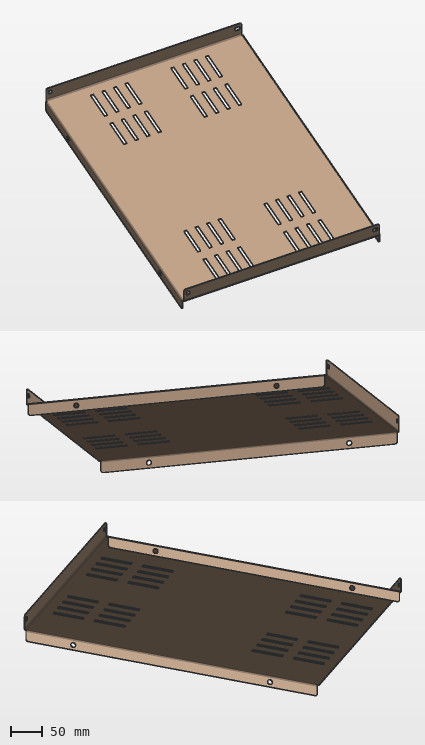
import cadquery as cq

length = 499.0
width = 344.0
height = 45.0
sheet = 1.5

bend_outer_radius = 2.0
bend_inner_radius = bend_outer_radius - sheet

plate_bottom = 18.5
plate_top = plate_bottom + sheet

side_flange_setback = 2.0
lower_flange_setback = 3.5
flange_corner_radius = 4.0

lower_hole_diameter = 8.0
lower_hole_x = 166.0
lower_hole_z = 9.0
side_hole_diameter = 6.5
side_slot_length = 9.5
side_hole_y = 162.5
side_hole_z = height - 10.0

vent_length = 51.0
vent_width = 5.0
vent_columns = 2
vent_rows = 4
vent_first_x = 133.0
vent_first_y = 40.0
vent_pitch_x = 70.0
vent_pitch_y = 20.0


def make_channel(span, run, depth):
    """U channel folded about Y: web on z = 0, flanges rising at both X ends."""
    web_up = (True, True, False)
    outer = cq.Workplane("XY").box(span, run, depth, centered=web_up)
    outer = outer.edges("|Y and <Z").fillet(bend_outer_radius)
    outer = outer.edges("|X and >Z").fillet(flange_corner_radius)
    inner = cq.Workplane("XY").box(span - 2 * sheet, run, depth, centered=web_up)
    inner = inner.edges("|Y and <Z").fillet(bend_inner_radius)
    return outer.cut(inner.translate((0, 0, sheet)))


def make_upper_channel():
    """Plate with the upward flanges on the -X and +X sides."""
    run = width - 2 * side_flange_setback
    channel = make_channel(length, run, height - plate_bottom)
    return channel.translate((0, 0, plate_bottom))


def make_lower_channel():
    """Plate with the downward flanges on the -Y and +Y sides."""
    run = length - 2 * lower_flange_setback
    channel = make_channel(width, run, plate_top)
    turned = channel.rotate((0, 0, 0), (0, 0, 1), 90).rotate((0, 0, 0), (1, 0, 0), 180)
    return turned.translate((0, 0, plate_top))


def make_vents():
    """Cutters for all ventilation slots."""
    columns = [vent_first_x + i * vent_pitch_x for i in range(vent_columns)]
    rows = [vent_first_y + i * vent_pitch_y for i in range(vent_rows)]
    centres = [(sx * x, sy * y) for x in columns for y in rows for sx in (-1, 1) for sy in (-1, 1)]
    vents = cq.Workplane("XY").workplane(offset=plate_bottom).pushPoints(centres)
    return vents.rect(vent_length, vent_width).extrude(sheet)


def make_lower_holes():
    """Cutters for the round holes through both downward flanges."""
    centres = [(-lower_hole_x, lower_hole_z), (lower_hole_x, lower_hole_z)]
    holes = cq.Workplane("XZ").pushPoints(centres)
    return holes.circle(lower_hole_diameter / 2).extrude(width, both=True)


def make_side_holes():
    """Cutters for a round hole at -Y and a slot at +Y through both upward flanges."""
    hole = cq.Workplane("YZ").center(-side_hole_y, side_hole_z).circle(side_hole_diameter / 2)
    slot = cq.Workplane("YZ").center(side_hole_y, side_hole_z).slot2D(side_slot_length, side_hole_diameter)
    return hole.extrude(length, both=True).union(slot.extrude(length, both=True))


shelf = make_upper_channel().union(make_lower_channel())
result = shelf.cut(make_vents()).cut(make_lower_holes()).cut(make_side_holes())